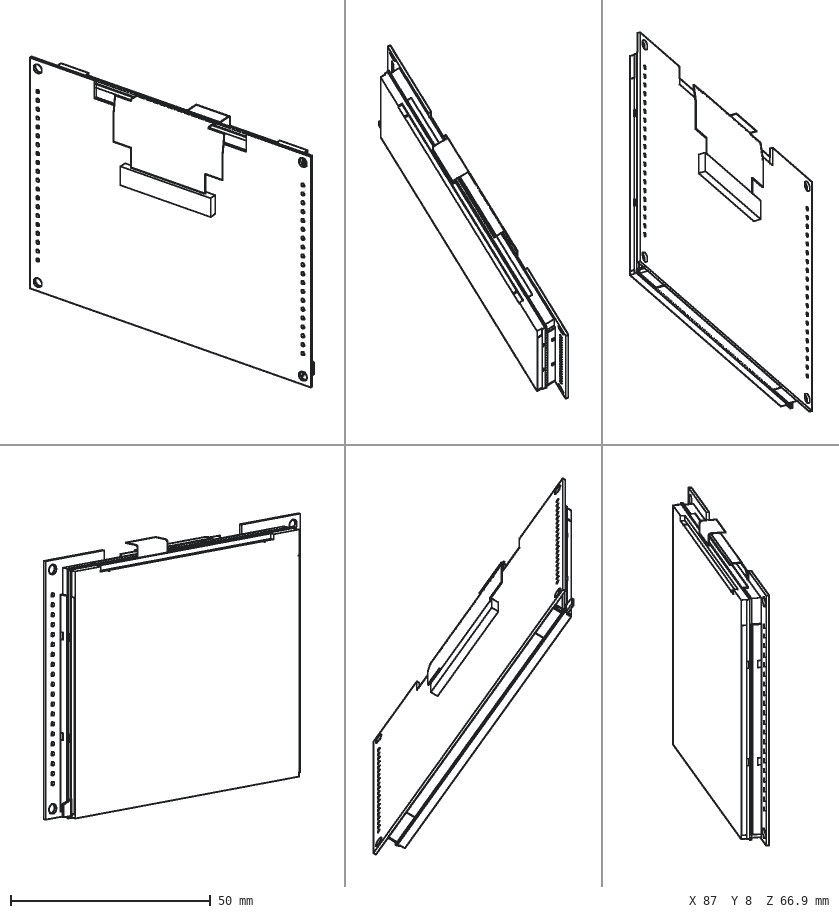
import cadquery as cq


board_width = 87.0
board_height = 66.1
board_thickness = 0.8
notch_width = 47.0
notch_depth = 5.1
mount_hole_diameter = 2.5
mount_hole_inset = 2.4
pin_hole_diameter = 1.0
pin_hole_count = 20
pin_row_length = 48.3

connector_width = 27.9
connector_height = 5.4
connector_depth = 2.0
connector_top = 45.5

shell_front = 3.4
panel_front = 3.8
panel_thickness = 2.2
panel_back = panel_front + panel_thickness

shell_width = 77.1
shell_bottom = 0.1
shell_top = 63.95
sheet_thickness = 0.3
fold_depth = 0.3
fold_reach = 0.1
top_flap_width = 59.2
top_flap_depth = 1.2
side_flap_bottom = 1.4
side_flap_top = 56.9

housing_corner_width = 75.5

lug_centres = (20.7, 46.5)
lug_height = 1.8
panel_lug_back = 4.6
panel_lug_depth = 0.5
panel_lug_reach = 0.2
shell_lug_back = 1.8
shell_lug_depth = 0.8
shell_lug_reach = 0.2

panel_width = 76.4
panel_bottom = 0.35
panel_top = 63.6
rim_back = 4.6
rim_reach = 0.3
side_band_reach = 0.2
side_band_chamfer = 0.2
recess_depth_y = 1.1
recess_depth_z = 1.3
groove_spacing = 53.1
groove_width = 0.3

flex_thickness = 0.3
flex_front = -1.05
flex_fold_width = 24.1
flex_wide_width = 33.8
flex_neck_width = 23.05
flex_wide_bottom = 51.15
flex_bend_height = 58.8
flex_wide_top = 64.1
flex_lean_front = -0.35
flex_top = 64.55
flex_fold_radius = 0.4
flex_fold_back = 2.35
flex_foot_back = 2.9

touch_left = 5.2
touch_width = 10.2
touch_top = 66.9
touch_back = 4.4
touch_thickness = 0.2
touch_bend_radius = 0.8

tail_tip = 41.1
tail_back = 4.9
tail_thickness = 0.6
tail_bottom = 0.9
tail_tip_top = 4.2
tail_root_top = 5.2


def block(x_range, y_range, z_range):
    """Axis-aligned box from its limits along X, Y and Z."""
    size = [high - low for low, high in (x_range, y_range, z_range)]
    corner = (x_range[0], y_range[0], z_range[0])
    return cq.Workplane("XY").box(*size, centered=False).translate(corner)


def centred_block(width, y_range, z_range):
    """Box that is centred on x = 0."""
    return block((-width / 2, width / 2), y_range, z_range)


def board_holes(points, diameter):
    """Cylinders through the board at the given (x, z) points."""
    cutters = cq.Workplane("XZ").pushPoints(points).circle(diameter / 2)
    return cutters.extrude(-board_thickness)


def snap_lugs(half_width, back, depth, reach):
    """Wedges on both sides, highest at the back edge and fading out toward the front."""
    wedge = cq.Workplane("XY").polyline(
        [(half_width, back), (half_width + reach, back), (half_width, back - depth)]
    ).close().extrude(lug_height)
    lugs = cq.Workplane("XY")
    for centre in lug_centres:
        lug = wedge.translate((0, 0, centre - lug_height / 2))
        lugs = lugs.add(lug).add(lug.mirror("YZ"))
    return lugs.combine()


def make_board():
    board = centred_block(board_width, (0, board_thickness), (0, board_height))
    notch = centred_block(notch_width, (0, board_thickness), (board_height - notch_depth, board_height))
    hole_x = board_width / 2 - mount_hole_inset
    mount_points = [
        (x, z) for x in (-hole_x, hole_x) for z in (mount_hole_inset, board_height - mount_hole_inset)
    ]
    pitch = pin_row_length / (pin_hole_count - 1)
    first_pin = (board_height - pin_row_length) / 2
    pin_points = [
        (x, first_pin + i * pitch) for x in (-hole_x, hole_x) for i in range(pin_hole_count)
    ]
    board = board.cut(notch)
    board = board.cut(board_holes(mount_points, mount_hole_diameter))
    return board.cut(board_holes(pin_points, pin_hole_diameter))


def make_connector():
    return centred_block(
        connector_width, (-connector_depth, 0), (connector_top - connector_height, connector_top)
    )


def make_housing():
    """Backlight housing: filled out to the side flaps, narrower at the corners the flaps leave open."""
    layer = (board_thickness, shell_front)
    bottom = shell_bottom + sheet_thickness
    top = shell_top - sheet_thickness
    core = centred_block(housing_corner_width, layer, (bottom, top))
    middle = centred_block(
        shell_width - 2 * sheet_thickness, layer, (side_flap_bottom, side_flap_top)
    )
    return core.union(middle)


def make_shell():
    """Sheet-metal plate with flaps folded forward over the housing and a raised fold at each side."""
    flap_layer = (board_thickness, shell_front)
    plate = centred_block(shell_width, (shell_front, panel_front), (shell_bottom, shell_top))
    top_flap = centred_block(
        top_flap_width,
        (shell_front - top_flap_depth, shell_front),
        (shell_top - sheet_thickness, shell_top),
    )
    bottom_flap = centred_block(
        top_flap_width, flap_layer, (shell_bottom, shell_bottom + sheet_thickness)
    )
    flap_heights = (side_flap_bottom, side_flap_top)
    flap_inner = shell_width / 2 - sheet_thickness
    flap_outer = shell_width / 2 - fold_reach
    side_flap = block((flap_inner, flap_outer), flap_layer, flap_heights)
    fold = block(
        (flap_inner, shell_width / 2), (shell_front - fold_depth, shell_front), flap_heights
    )
    side_flap = side_flap.union(fold)
    shell = plate.union(top_flap).union(bottom_flap)
    shell = shell.union(side_flap).union(side_flap.mirror("YZ"))
    return shell.union(snap_lugs(flap_outer, shell_lug_back, shell_lug_depth, shell_lug_reach))


def make_panel():
    """Display panel with a rim, raised side bands, snap lugs and a recess in its top back edge."""
    z_range = (panel_bottom, panel_top)
    body = centred_block(panel_width, (panel_front, panel_back), z_range)
    rim_width = panel_width + 2 * rim_reach
    rim = centred_block(rim_width, (panel_front, rim_back), z_range)
    band_width = panel_width + 2 * side_band_reach
    bands = centred_block(
        band_width, (panel_front, panel_back), (side_flap_bottom, side_flap_top)
    ).edges("|Z and >Y").chamfer(side_band_chamfer)
    panel = body.union(rim).union(bands)
    panel = panel.union(snap_lugs(rim_width / 2, panel_lug_back, panel_lug_depth, panel_lug_reach))

    recess_layer = (panel_back - recess_depth_y, panel_back)
    recess_floor = panel_top - recess_depth_z
    panel = panel.cut(centred_block(top_flap_width, recess_layer, (recess_floor, panel_top)))
    for side in (-1, 1):
        groove_x = side * groove_spacing / 2
        groove = block(
            (groove_x - groove_width / 2, groove_x + groove_width / 2),
            recess_layer,
            (recess_floor - groove_width, recess_floor),
        )
        panel = panel.cut(groove)
    return panel


def make_display_flex():
    """Flex strip: fold profile extruded across X, then trimmed to the fold, wide and neck widths."""
    inner_top = flex_top - flex_thickness
    back = flex_front + flex_thickness
    lean_back = flex_lean_front + flex_thickness
    corner_y = flex_lean_front + flex_fold_radius
    inner_radius = corner_y - lean_back
    profile = (
        cq.Workplane("YZ")
        .moveTo(flex_front, connector_top)
        .lineTo(flex_front, flex_bend_height)
        .lineTo(flex_lean_front, flex_top - flex_fold_radius)
        .radiusArc((corner_y, flex_top), flex_fold_radius)
        .lineTo(flex_fold_back, flex_top)
        .lineTo(flex_foot_back, shell_top)
        .lineTo(flex_foot_back - flex_thickness, shell_top)
        .lineTo(flex_fold_back - flex_thickness / 2, inner_top)
        .lineTo(corner_y, inner_top)
        .radiusArc((lean_back, inner_top - inner_radius), -inner_radius)
        .lineTo(back, flex_bend_height)
        .lineTo(back, connector_top)
        .close()
    )
    sheet = profile.extrude(flex_wide_width / 2, both=True)
    depth = (flex_front, flex_foot_back)
    outline = centred_block(flex_neck_width, depth, (connector_top, flex_wide_bottom))
    outline = outline.union(centred_block(flex_wide_width, depth, (flex_wide_bottom, flex_wide_top)))
    outline = outline.union(centred_block(flex_fold_width, depth, (flex_wide_top, flex_top)))
    behind_fold = (corner_y, flex_foot_back)
    foot_heights = (shell_top, flex_wide_top)
    outline = outline.cut(centred_block(flex_wide_width, behind_fold, foot_heights))
    outline = outline.union(centred_block(flex_fold_width, behind_fold, foot_heights))
    return sheet.intersect(outline)


def make_touch_flex():
    """Flex strip that rises from the panel top and bends forward to end above the board front."""
    inner_radius = touch_bend_radius - touch_thickness
    bend_y = touch_back - touch_bend_radius
    bend_z = touch_top - touch_bend_radius
    profile = (
        cq.Workplane("YZ")
        .moveTo(touch_back, panel_top)
        .lineTo(touch_back, bend_z)
        .radiusArc((bend_y, touch_top), -touch_bend_radius)
        .lineTo(0, touch_top)
        .lineTo(0, touch_top - touch_thickness)
        .lineTo(bend_y, touch_top - touch_thickness)
        .radiusArc((bend_y + inner_radius, bend_z), inner_radius)
        .lineTo(touch_back - touch_thickness, panel_top)
        .close()
    )
    return profile.extrude(touch_width).translate((touch_left, 0, 0))


def make_tail(panel):
    """Tapered tail on the +X side of the panel, cut to fit around the panel's rim."""
    root = panel_width / 2
    outline = [
        (root, tail_bottom),
        (tail_tip, tail_bottom),
        (tail_tip, tail_tip_top),
        (root, tail_root_top),
    ]
    tail = cq.Workplane("XZ").polyline(outline).close().extrude(tail_thickness)
    return tail.translate((0, tail_back, 0)).cut(panel)


board = make_board()
connector = make_connector()
housing = make_housing()
shell = make_shell()
panel = make_panel()
display_flex = make_display_flex()
touch_flex = make_touch_flex()
tail = make_tail(panel)

bodies = [board, connector, housing, shell, panel, display_flex, touch_flex, tail]
result = cq.Compound.makeCompound([body.solids().val() for body in bodies])